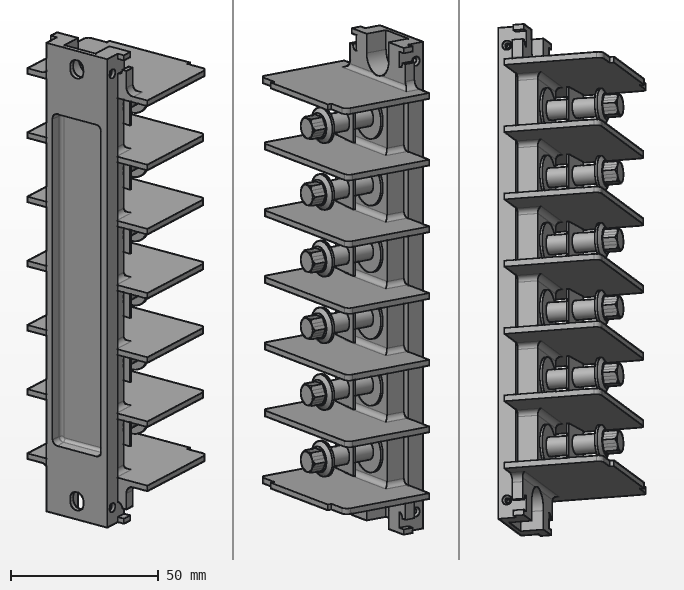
import cadquery as cq
import math


length = 171.2
strip_width = 25.3
strip_depth = 6.2
half_length = length / 2
half_strip = strip_width / 2

recess_width = 20.2
recess_height = 121.2
recess_depth = 4.3
recess_corner = 2.0
recess_draft = 7.0
recess_floor_fillet = 1.2

bay_count = 6
plate_count = bay_count + 1
plate_pitch = 23.5
plate_thickness = 2.0
plate_width = 50.0
plate_corner = 2.0
middle_plate_back = 40.0
end_plate_back = 41.0
end_tab_width = 33.5
end_tab_back = 42.5
end_plate_z = plate_pitch * bay_count / 2

core_width = 20.2
core_back = 13.2
core_fillet = 1.9

bracket_back = 10.0
bracket_half_width = 16.3
bracket_side_fillet = 2.7
bracket_back_fillet = 1.5
hook_drop = 5.5
hook_arc = 1.9
flange_half_width = 15.2
flange_thickness = 1.9

mount_drop = 6.7
mount_hole_width = 5.5
mount_hole_height = 6.7
channel_width = 13.0
channel_floor = 1.9
side_hole_drop = 6.3
side_hole_diameter = 1.7
side_hole_mouth = 3.3
side_hole_countersink = 0.9
side_hole_depth = 2.5

base_radius = 7.7
base_thickness = 0.9
stud_diameter = 6.7
stud_radius = stud_diameter / 2
clamp_size = 12.3
clamp_thickness = 0.7
clamp_tilt = 6.0
clamp_y = 23.3
head_flange_y = 32.2
head_flange_radius = 6.2
head_flange_rim = 0.9
head_cone_radius = 4.5
head_cone_height = 1.2
head_end = 39.4
hex_flats = 7.0
head_core_band = 1.2
head_core_radius = math.hypot(hex_flats / 2, head_core_band / 2)
head_chamfer = 0.7


def centred_box(width, y_front, y_back, height, z_middle=0.0):
    """Box centred on x = 0, running from y_front to y_back."""
    box = cq.Workplane("XY").box(width, y_back - y_front, height, centered=(True, False, True))
    return box.translate((0, y_front, z_middle))


def barrier_plate(z_middle, back):
    plate = centred_box(plate_width, strip_depth, back, plate_thickness, z_middle)
    return plate.edges("|Z and >Y").fillet(plate_corner)


def core_with_plates():
    """Terminal core and its plates, with a fillet wherever the core meets a plate."""
    body = centred_box(core_width, strip_depth, core_back, 2 * end_plate_z)
    for index in range(plate_count):
        z_middle = index * plate_pitch - end_plate_z
        is_end = index in (0, bay_count)
        body = body.union(barrier_plate(z_middle, end_plate_back if is_end else middle_plate_back))
    margin = 0.2
    around_core = cq.selectors.BoxSelector(
        (-core_width / 2 - margin, strip_depth + margin, margin - end_plate_z),
        (core_width / 2 + margin, core_back + margin, end_plate_z - margin),
    )
    body = body.edges("#Z").edges(around_core).fillet(core_fillet)
    for side in (-1, 1):
        tab = centred_box(end_tab_width, strip_depth, end_tab_back, plate_thickness, side * end_plate_z)
        body = body.union(tab)
    return body


def bracket_half_outline(side):
    """Outline of one half of the top bracket: plate flare, hook, neck and end flange."""
    base = end_plate_z
    hook_top = half_length - hook_drop
    flare = bracket_half_width + bracket_side_fillet
    arc_mid = hook_arc * math.sqrt(0.5)
    arc_middle = (side * (half_strip + arc_mid), hook_top - arc_mid)
    flare_mid = bracket_side_fillet * (1 - math.sqrt(0.5))
    flare_base = base + plate_thickness / 2
    return (
        cq.Workplane("XZ")
        .moveTo(0, base)
        .lineTo(side * flare, base)
        .lineTo(side * flare, flare_base)
        .threePointArc(
            (side * (bracket_half_width + flare_mid), flare_base + flare_mid),
            (side * bracket_half_width, flare_base + bracket_side_fillet),
        )
        .lineTo(side * bracket_half_width, hook_top)
        .lineTo(side * (half_strip + hook_arc), hook_top)
        .threePointArc(arc_middle, (side * half_strip, hook_top - hook_arc))
        .lineTo(side * half_strip, half_length - flange_thickness)
        .lineTo(side * flange_half_width, half_length - flange_thickness)
        .lineTo(side * flange_half_width, half_length)
        .lineTo(0, half_length)
        .close()
    )


def end_bracket():
    """Top bracket: its front outline crossed with its side outline, so the two flares meet in a mitre."""
    deep = bracket_back + bracket_back_fillet
    across = bracket_half_width + bracket_side_fillet
    flare_base = end_plate_z + plate_thickness / 2
    flare_mid = bracket_back_fillet * (1 - math.sqrt(0.5))
    front = bracket_half_outline(1).extrude(-deep).union(bracket_half_outline(-1).extrude(-deep))
    side = (
        cq.Workplane("YZ")
        .moveTo(strip_depth, end_plate_z)
        .lineTo(deep, end_plate_z)
        .lineTo(deep, flare_base)
        .threePointArc(
            (bracket_back + flare_mid, flare_base + flare_mid),
            (bracket_back, flare_base + bracket_back_fillet),
        )
        .lineTo(bracket_back, half_length)
        .lineTo(strip_depth, half_length)
        .close()
        .extrude(across, both=True)
    )
    return front.intersect(side)


def label_recess():
    recess = (
        cq.Workplane("XZ")
        .sketch()
        .rect(recess_width, recess_height)
        .vertices()
        .fillet(recess_corner)
        .finalize()
        .extrude(-recess_depth, taper=recess_draft)
    )
    return recess.faces(">Y").edges().fillet(recess_floor_fillet)


def mounting_cut():
    """Oblong screw hole at the top end and the wider round-bottomed channel behind it."""
    z_middle = half_length - mount_drop
    hole = (
        cq.Workplane("XZ")
        .center(0, z_middle)
        .slot2D(mount_hole_height, mount_hole_width, angle=90)
        .extrude(-bracket_back)
    )
    channel_depth = bracket_back + bracket_back_fillet - channel_floor
    channel = centred_box(
        channel_width, channel_floor, channel_floor + channel_depth, mount_drop, z_middle + mount_drop / 2
    )
    channel_end = (
        cq.Workplane("XZ", origin=(0, channel_floor, z_middle))
        .circle(channel_width / 2)
        .extrude(-channel_depth)
    )
    return hole.union(channel).union(channel_end)


def side_hole(side):
    """Countersunk blind hole in one side of the strip, near the top end."""
    mouth = side_hole_mouth / 2
    bore = side_hole_diameter / 2
    hole = (
        cq.Workplane("XY")
        .polyline(
            [(0, 0), (mouth, 0), (bore, side_hole_countersink), (bore, side_hole_depth), (0, side_hole_depth)]
        )
        .close()
        .revolve(360, (0, 0, 0), (0, 1, 0))
        .rotate((0, 0, 0), (0, 0, 1), side * 90)
    )
    return hole.translate((side * half_strip, strip_depth / 2, half_length - side_hole_drop))


def at_both_ends(top_shape):
    return top_shape.union(top_shape.mirror("XY"))


def make_housing():
    body = centred_box(strip_width, 0, strip_depth, length)
    body = body.union(core_with_plates()).union(at_both_ends(end_bracket()))
    body = body.cut(label_recess()).cut(at_both_ends(mounting_cut()))
    for side in (-1, 1):
        body = body.cut(at_both_ends(side_hole(side)))
    return body


def screw_head():
    """Chamfered hexagon around a core that stands slightly proud of its flats."""
    foot = head_flange_y + head_flange_rim
    height = head_end - foot
    across_corners = hex_flats / math.cos(math.pi / 6)
    hexagon = cq.Workplane("XZ", origin=(0, foot, 0)).polygon(6, across_corners).extrude(-height)
    core = cq.Workplane("XZ", origin=(0, foot, 0)).circle(head_core_radius).extrude(-height)
    corner_radius = across_corners / 2
    envelope = (
        cq.Workplane("XY")
        .polyline(
            [
                (0, foot),
                (corner_radius, foot),
                (corner_radius, head_end - head_chamfer),
                (hex_flats / 2, head_end),
                (0, head_end),
            ]
        )
        .close()
        .revolve(360, (0, 0, 0), (0, 1, 0))
    )
    return hexagon.union(core).intersect(envelope)


def make_screw(z_middle):
    """Terminal screw: round base, stud, tilted square clamp plate and flanged hexagon head."""
    base_top = core_back + base_thickness
    rim_top = head_flange_y + head_flange_rim
    turned = (
        cq.Workplane("XY")
        .polyline(
            [
                (0, core_back),
                (base_radius, core_back),
                (base_radius, base_top),
                (stud_radius, base_top),
                (stud_radius, head_flange_y),
                (head_flange_radius, head_flange_y),
                (head_flange_radius, rim_top),
                (head_cone_radius, rim_top + head_cone_height),
                (0, rim_top + head_cone_height),
            ]
        )
        .close()
        .revolve(360, (0, 0, 0), (0, 1, 0))
    )
    clamp = (
        cq.Workplane("XY")
        .box(clamp_size, clamp_thickness, clamp_size)
        .rotate((0, 0, 0), (0, 0, 1), -clamp_tilt)
        .translate((0, clamp_y, 0))
    )
    return turned.union(clamp).union(screw_head()).translate((0, 0, z_middle))


housing = make_housing()

screws = []
for bay in range(bay_count):
    bay_middle = (bay + 0.5) * plate_pitch - end_plate_z
    screws.append(make_screw(bay_middle).val())

result = cq.Compound.makeCompound([housing.val(), *screws])